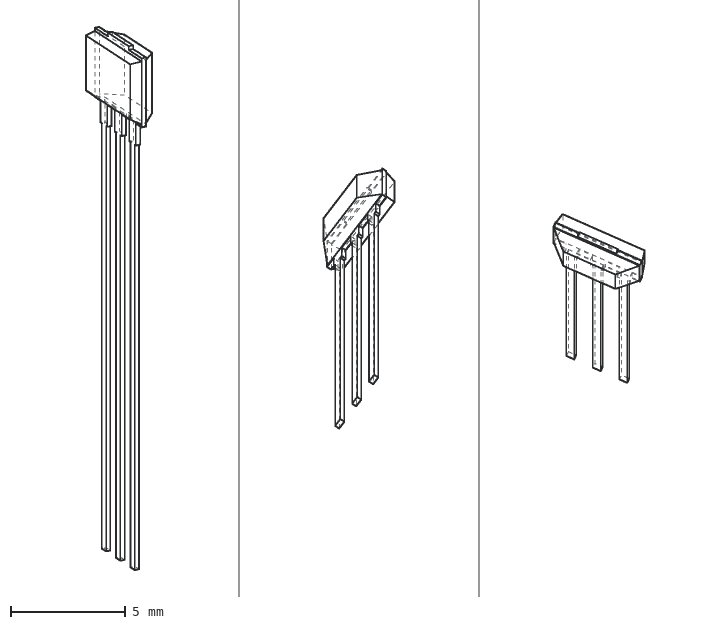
import cadquery as cq

total_height = 24.45
body_width = 4.15

frame_thickness = 0.22
tab_width = 1.85
tab_height = 0.17
plate_top = total_height - tab_height
plate_bottom = 21.02
lead_count = 3
lead_pitch = 1.27
lead_width = 0.4
shoulder_width = 0.6
shoulder_bottom = 20.0

housing_top = 24.12
housing_bottom = 21.15
front_depth = 0.51
front_face_width = 3.93
front_face_top = 24.05
front_face_bottom = 21.45
back_base_width = 4.1
back_depth = 0.78
back_face_width = 2.5
back_face_top = 24.05
back_face_bottom = 21.21


def frame_strip(x_center, width, bottom, top):
    """Rectangular piece of the lead frame sheet, centred on Y = 0."""
    strip = cq.Workplane("XY").box(width, frame_thickness, top - bottom, centered=(True, True, False))
    return strip.translate((x_center, 0, bottom))


def make_lead_frame():
    """Plate, tab and leads cut from one sheet."""
    frame = frame_strip(0, body_width, plate_bottom, plate_top)
    frame = frame.union(frame_strip(0, tab_width, plate_top, total_height))
    for index in range(lead_count):
        x_center = (index - (lead_count - 1) / 2) * lead_pitch
        frame = frame.union(frame_strip(x_center, shoulder_width, shoulder_bottom, plate_bottom))
        frame = frame.union(frame_strip(x_center, lead_width, 0, shoulder_bottom))
    return frame


def rectangle_wire(y, width, bottom, top):
    """Upright rectangle in the plane at the given Y, symmetric about X = 0."""
    half = width / 2
    corners = [(-half, y, bottom), (half, y, bottom), (half, y, top), (-half, y, top)]
    return cq.Wire.makePolygon([cq.Vector(*corner) for corner in corners], close=True)


def make_housing(direction, depth, base_width, face_width, face_bottom, face_top):
    """Tapered block from the plate to its outer face; direction is the sign of Y."""
    base_y = direction * frame_thickness / 2
    base = rectangle_wire(base_y, base_width, housing_bottom, housing_top)
    face = rectangle_wire(base_y + direction * depth, face_width, face_bottom, face_top)
    return cq.Workplane(cq.Solid.makeLoft([base, face], True))


lead_frame = make_lead_frame()
front_housing = make_housing(
    -1, front_depth, body_width, front_face_width, front_face_bottom, front_face_top
)
back_housing = make_housing(
    1, back_depth, back_base_width, back_face_width, back_face_bottom, back_face_top
)

result = cq.Compound.makeCompound([lead_frame.val(), front_housing.val(), back_housing.val()])